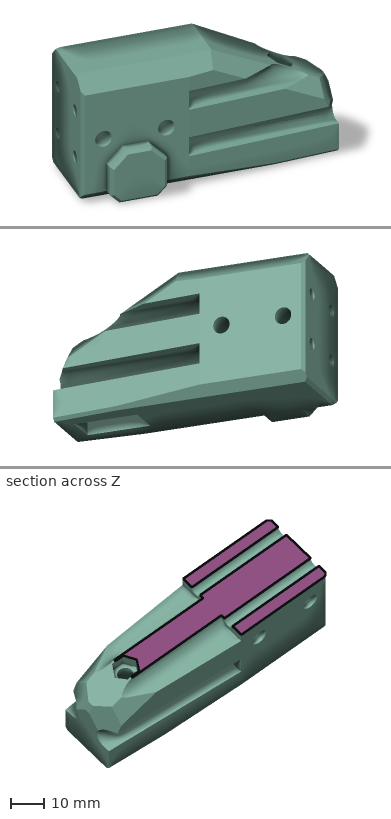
import cadquery as cq
import math

length = 83.0
height = 42.0
width = 27.0
rear_width = 20.0
front_bevel = 1.0
top_chamfer = 5.0
bottom_chamfer = 3.0
rear_bottom_chamfer = 1.0
taper_start = 34.0

crest_y = 43.1
roof_end_z = 21.8
roof_bevel_inset = 4.5
roof_bevel_drop = 5.0

tip_height = 19.7
tip_y = 81.7
tip_facet_width = 1.9
tip_bevel_y = 78.35

screw_x = 7.5
screw_heights = (13.0, 29.0)
screw_diameter = 3.65
channel_diameter = 6.5

cross_hole_ys = (6.9, 26.9)
cross_hole_z = 21.0
cross_hole_diameter = 5.3

nut_y = 68.0
nut_across_flats = 7.3
nut_floor_z = 24.9
bolt_diameter = 5.0

pocket_width = 10.0
pocket_length = 20.3
pocket_top = 11.0
skin = 0.3

pad_x = width / 2 + 4.0
pad_y0 = 7.9
pad_y1 = 26.1
pad_height = 17.5
pad_top_corner = 5.0
pad_bottom_corner = 3.0

big = 3 * length
taper = (width - rear_width) / 2 / (length - taper_start)
roof_fall = (height - roof_end_z) / (length - crest_y)


def half_width(y):
    """Half width of the body behind the taper start."""
    return width / 2 - taper * (y - taper_start)


def roof_z(y):
    """Height of the sloping roof."""
    return height - roof_fall * (y - crest_y)


def trim(body, point, normal):
    """Remove everything on the side of a plane that its normal points to."""
    plane = cq.Plane(origin=point, normal=normal)
    return body.cut(cq.Workplane(plane).rect(big, big).extrude(big))


def trim_both_sides(body, point, normal):
    """Trim with a plane and with its mirror image about the middle plane."""
    body = trim(body, point, normal)
    return trim(body, (-point[0], point[1], point[2]), (-normal[0], normal[1], normal[2]))


def outward_normal(a, b, c):
    """Normal of the plane through three points, turned to point up."""
    a, b, c = cq.Vector(*a), cq.Vector(*b), cq.Vector(*c)
    normal = (b - a).cross(c - a)
    if normal.z < 0:
        normal = normal * -1
    return normal.toTuple()


def tapered_block():
    plan = (
        cq.Workplane("XY")
        .moveTo(-width / 2, 0)
        .lineTo(width / 2, 0)
        .lineTo(width / 2, taper_start)
        .lineTo(rear_width / 2, length)
        .lineTo(-rear_width / 2, length)
        .lineTo(-width / 2, taper_start)
        .close()
        .extrude(height)
    )
    profile = (
        cq.Workplane("YZ")
        .moveTo(0, 0)
        .lineTo(length, 0)
        .lineTo(length, tip_height)
        .lineTo(tip_y, roof_z(tip_y))
        .lineTo(crest_y, height)
        .lineTo(0, height)
        .close()
        .extrude(width, both=True)
    )
    return plan.intersect(profile).faces("<Y").chamfer(front_bevel)


def chamfer_body(body):
    body = trim_both_sides(body, (width / 2, 0, height - top_chamfer), (1, 0, 1))
    body = trim_both_sides(body, (width / 2, 0, bottom_chamfer), (1, 0, -1))
    rear_edge = (rear_width / 2, length, rear_bottom_chamfer)
    body = trim_both_sides(body, rear_edge, (1, taper, -1))
    side_low = (half_width(tip_bevel_y), tip_bevel_y, roof_z(tip_bevel_y) - roof_bevel_drop)
    side_high = (half_width(tip_bevel_y) - roof_bevel_inset, tip_bevel_y, roof_z(tip_bevel_y))
    crest_low = (half_width(crest_y), crest_y, height - roof_bevel_drop)
    body = trim_both_sides(body, side_low, outward_normal(side_low, side_high, crest_low))
    tip_corner = (tip_facet_width / 2, tip_y, roof_z(tip_y))
    return trim_both_sides(body, side_low, outward_normal(side_low, side_high, tip_corner))


def pad():
    block = (
        cq.Workplane("YZ")
        .moveTo(pad_y0 + pad_bottom_corner, 0)
        .lineTo(pad_y1 - pad_bottom_corner, 0)
        .lineTo(pad_y1, pad_bottom_corner)
        .lineTo(pad_y1, pad_height - pad_top_corner)
        .lineTo(pad_y1 - pad_top_corner, pad_height)
        .lineTo(pad_y0 + pad_top_corner, pad_height)
        .lineTo(pad_y0, pad_height - pad_top_corner)
        .lineTo(pad_y0, pad_bottom_corner)
        .close()
        .extrude(pad_x)
    )
    return block.faces(">X").chamfer(front_bevel)


def screw_cuts():
    centers = [(x, z) for x in (-screw_x, screw_x) for z in screw_heights]
    holes = (
        cq.Workplane("XZ").pushPoints(centers).circle(screw_diameter / 2).extrude(-length)
    )
    rear = cq.Workplane("XZ", origin=(0, taper_start, 0))
    channels = rear.pushPoints(centers).circle(channel_diameter / 2).extrude(-length)
    for side in (-1, 1):
        for z in screw_heights:
            opening = rear.center(side * (screw_x + width / 2), z).rect(width, channel_diameter)
            channels = channels.union(opening.extrude(-length))
    return holes.union(channels)


def cross_holes():
    centers = [(y, cross_hole_z) for y in cross_hole_ys]
    return (
        cq.Workplane("YZ").pushPoints(centers).circle(cross_hole_diameter / 2)
        .extrude(width, both=True)
    )


def nut_seat():
    across_corners = nut_across_flats / math.cos(math.radians(30))
    seat = (
        cq.Workplane("XY", origin=(0, nut_y, nut_floor_z))
        .transformed(rotate=(0, 0, 90))
        .polygon(6, across_corners)
        .extrude(height)
    )
    bolt_hole = (
        cq.Workplane("XY", origin=(0, nut_y, pocket_top + skin))
        .circle(bolt_diameter / 2)
        .extrude(height)
    )
    return seat.union(bolt_hole)


def bottom_pocket():
    return (
        cq.Workplane("XY", origin=(0, nut_y, 0))
        .rect(pocket_width, pocket_length)
        .extrude(pocket_top)
    )


result = chamfer_body(tapered_block()).union(pad())
for cutter in (screw_cuts(), cross_holes(), nut_seat(), bottom_pocket()):
    result = result.cut(cutter)